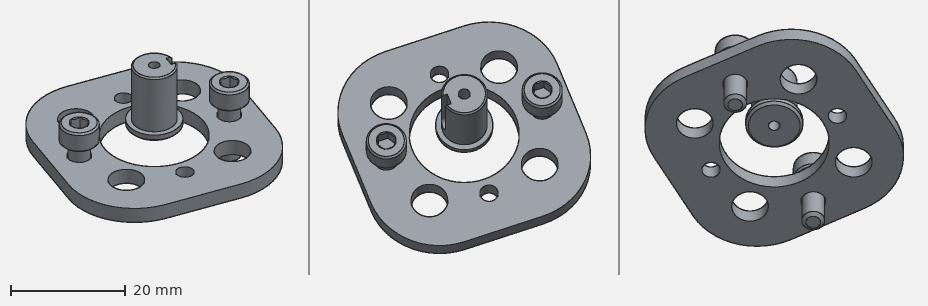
import cadquery as cq
import math

plate_side = 40.0
plate_thickness = 3.0
corner_radius = 12.7
center_hole_diameter = 19.2
bolt_circle_diameter = 29.0
corner_hole_diameter = 6.4
screw_hole_diameter = 4.3
small_hole_spacing = 25.0
small_hole_diameter = 3.2

screw_diameter = 4.0
screw_length = 12.0
screw_tip_height = 0.5
screw_tip_inset = 0.7
screw_head_diameter = 7.0
screw_head_height = 4.0
screw_head_chamfer = 0.35
socket_across_flats = 3.0
socket_corner_diameter = socket_across_flats / math.cos(math.radians(30))
socket_depth = 2.4
lead_in_depth = 0.3
screw_head_gap = 3.0
screw_seat_z = plate_thickness + screw_head_gap

shaft_diameter = 8.0
shaft_length = 12.9
shaft_chamfer = 0.3
shaft_bore_diameter = 2.0
flange_diameter = 10.0
flange_thickness = 1.5
flange_chamfer = 0.5
flange_gap = 2.0
flange_bottom_z = plate_thickness + flange_gap
keyway_width = 2.0
keyway_depth = 1.2
keyway_length = 9.7


def make_plate():
    """Rounded square plate with a central opening and three sets of holes."""
    plate = (
        cq.Workplane("XY")
        .rect(plate_side, plate_side)
        .extrude(plate_thickness)
        .edges("|Z")
        .fillet(corner_radius)
    )
    bolt_circle_radius = bolt_circle_diameter / 2
    plate = plate.faces(">Z").workplane().hole(center_hole_diameter)

    plate = plate.faces(">Z").workplane().polarArray(bolt_circle_radius, 45, 360, 4).hole(corner_hole_diameter)
    plate = plate.faces(">Z").workplane().polarArray(bolt_circle_radius, 90, 360, 2).hole(screw_hole_diameter)

    return plate.faces(">Z").workplane().rarray(small_hole_spacing, 0.4, 2, 1).hole(small_hole_diameter)


def make_screw(y):
    """Socket head screw hanging down from its seat height at the given Y."""
    shank = (
        cq.Workplane("XY")
        .circle(screw_diameter / 2)
        .extrude(-screw_length)
        .faces("<Z")
        .chamfer(screw_tip_height, screw_tip_inset)
    )
    head = (
        cq.Workplane("XY")
        .circle(screw_head_diameter / 2)
        .extrude(screw_head_height)
        .faces("<Z or >Z")
        .chamfer(screw_head_chamfer)
    )

    socket = (
        cq.Workplane("XY", origin=(0, 0, screw_head_height))
        .transformed(rotate=(0, 0, 90))
        .polygon(6, socket_corner_diameter)
        .extrude(-socket_depth)
    )

    mouth_radius = socket_corner_diameter / 2
    lead_in = cq.Workplane(
        cq.Solid.makeCone(
            mouth_radius - lead_in_depth,
            mouth_radius,
            lead_in_depth,
            pnt=cq.Vector(0, 0, screw_head_height - lead_in_depth),
        )
    )
    screw = head.union(shank).cut(socket).cut(lead_in)
    return screw.translate((0, y, screw_seat_z))


def make_shaft():
    """Bored shaft with a flange at its foot and a keyway open at its upper end."""
    flange = (
        cq.Workplane("XY")
        .circle(flange_diameter / 2)
        .extrude(flange_thickness)
        .faces("<Z")
        .chamfer(flange_chamfer)
    )
    post = (
        cq.Workplane("XY")
        .circle(shaft_diameter / 2)
        .extrude(shaft_length)
        .faces(">Z")
        .chamfer(shaft_chamfer)
    )
    bore = cq.Workplane("XY").circle(shaft_bore_diameter / 2).extrude(shaft_length)

    half_width = keyway_width / 2
    round_center_z = shaft_length - keyway_length + half_width
    keyway_floor_y = shaft_diameter / 2 - keyway_depth
    keyway = (
        cq.Workplane("XZ", origin=(0, keyway_floor_y, 0))
        .moveTo(-half_width, shaft_length)
        .lineTo(-half_width, round_center_z)
        .threePointArc((0, round_center_z - half_width), (half_width, round_center_z))
        .lineTo(half_width, shaft_length)
        .close()
        .extrude(-keyway_depth)
    )
    shaft = flange.union(post).cut(bore).cut(keyway)
    return shaft.translate((0, 0, flange_bottom_z))


plate = make_plate()
shaft = make_shaft()
screws = [make_screw(side * bolt_circle_diameter / 2) for side in (-1, 1)]

result = cq.Compound.makeCompound([plate.val(), shaft.val(), *[screw.val() for screw in screws]])